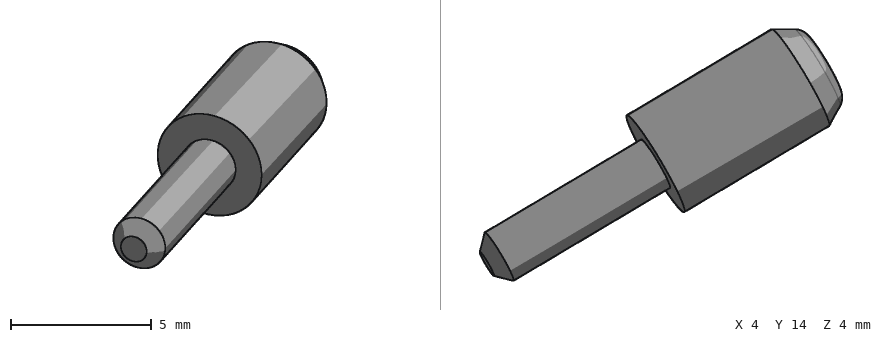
import cadquery as cq
import math

total_length = 14
head_diameter = 4.0
shank_diameter = head_diameter / 2
head_length = total_length / 2

shank_chamfer = 0.5
taper_length = 1.0
taper_angle = math.radians(30)
nose_radius = 0.6

shank_tip_y = -total_length / 2
shoulder_y = total_length / 2 - head_length
nose_y = total_length / 2
taper_start_y = nose_y - taper_length

head_radius = head_diameter / 2
shank_radius = shank_diameter / 2
nose_face_radius = head_radius - taper_length * math.tan(taper_angle)

profile = (
    cq.Workplane("XY")
    .moveTo(0, shank_tip_y)
    .lineTo(shank_radius - shank_chamfer, shank_tip_y)
    .lineTo(shank_radius, shank_tip_y + shank_chamfer)
    .lineTo(shank_radius, shoulder_y)
    .lineTo(head_radius, shoulder_y)
    .lineTo(head_radius, taper_start_y)
    .lineTo(nose_face_radius, nose_y)
    .lineTo(0, nose_y)
    .close()
)
pin = profile.revolve(360, (0, 0, 0), (0, 1, 0))

result = pin.faces(">Y").edges().fillet(nose_radius)